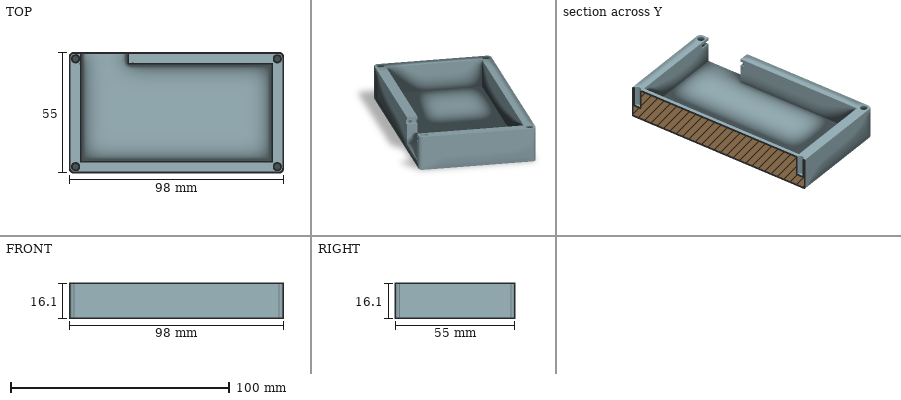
import cadquery as cq

length = 98.0
width = 55.0
height = 16.1
corner_radius = 2.0

wall = 5.0
floor_thickness = 3.0

opening_width = 22.0

slot_depth = 2.0
slot_height = 2.0
slot_cover = 1.5

hole_diameter = 3.4
hole_inset = 2.7
hole_depth = 9.8

inner_left = -length / 2 + wall
back_inner = width / 2 - wall


def box_from(x, y, z, size_x, size_y, size_z):
    """Box with its minimum corner at (x, y, z)."""
    return cq.Workplane("XY").box(size_x, size_y, size_z, centered=False).translate((x, y, z))


body = (
    cq.Workplane("XY")
    .box(length, width, height, centered=(True, True, False))
    .edges("|Z")
    .fillet(corner_radius)
)

cavity = box_from(
    inner_left,
    -back_inner,
    floor_thickness,
    length - 2 * wall,
    width - 2 * wall,
    height - floor_thickness,
)

opening = box_from(
    inner_left, back_inner, floor_thickness, opening_width, wall, height - floor_thickness
)

panel_slot = box_from(
    inner_left - slot_depth,
    back_inner,
    height - slot_cover - slot_height,
    opening_width + 2 * slot_depth,
    wall,
    slot_height,
)

screw_holes = (
    cq.Workplane("XY")
    .workplane(offset=height - hole_depth)
    .rect(length - 2 * hole_inset, width - 2 * hole_inset, forConstruction=True)
    .vertices()
    .circle(hole_diameter / 2)
    .extrude(hole_depth)
)

result = body.cut(cavity).cut(opening).cut(panel_slot).cut(screw_holes)